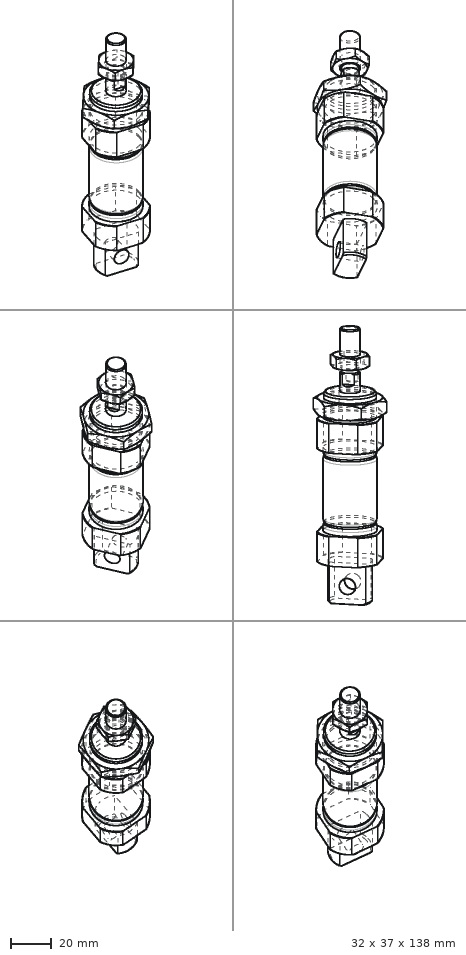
import cadquery as cq
import math

OVERALL_LENGTH = 138.0

LUG_DIAMETER = 22.0
LUG_THICKNESS = 12.0
LUG_LENGTH = 21.0
LUG_CHAMFER = 1.0
LUG_HOLE_DIAMETER = 8.0
LUG_HOLE_HEIGHT = 9.0

CAP_WIDTH = 30.1
CAP_FLAT_LENGTH = 14.6
CAP_HEIGHT = 15.0
CAP_CHAMFER = 0.3
CAP_DIAMETER = math.hypot(CAP_WIDTH, CAP_FLAT_LENGTH)

TUBE_DIAMETER = 26.5
TUBE_LENGTH = 42.0
GROOVE_DEPTH = 0.5
GROOVE_WIDTH = 3.7
GROOVE_FLOOR_WIDTH = 1.0
GROOVE_FROM_CAP = 4.0

COLLAR_DIAMETER = 26.0
COLLAR_TOP_DIAMETER = 24.2
COLLAR_HEIGHT = 13.1
COLLAR_CHAMFER_HEIGHT = 1.1

MOUNTING_NUT_WIDTH = 32.0
MOUNTING_NUT_THICKNESS = 8.0
MOUNTING_NUT_GAP = 2.0

ROD_DIAMETER = 10.0
NECK_DIAMETER = 8.5
NECK_HEIGHT = 2.5
ROD_SHOULDER_CHAMFER = (ROD_DIAMETER - NECK_DIAMETER) / 2
ROD_TIP_DIAMETER = 8.7
ROD_TIP_CHAMFER_HEIGHT = 0.7
WRENCH_FLAT_WIDTH = 8.0
WRENCH_FLAT_HEIGHT = 5.7

LOCK_NUT_WIDTH = 17.0
LOCK_NUT_THICKNESS = 6.1
LOCK_NUT_FROM_TIP = 13.4

NUT_CHAMFER_ANGLE = 30.0

LOWER_CAP_TOP = LUG_LENGTH + CAP_HEIGHT
UPPER_CAP_BOTTOM = LOWER_CAP_TOP + TUBE_LENGTH
UPPER_CAP_TOP = UPPER_CAP_BOTTOM + CAP_HEIGHT
COLLAR_TOP = UPPER_CAP_TOP + COLLAR_HEIGHT
MOUNTING_NUT_BOTTOM = UPPER_CAP_TOP + MOUNTING_NUT_GAP
LOCK_NUT_BOTTOM = OVERALL_LENGTH - LOCK_NUT_FROM_TIP - LOCK_NUT_THICKNESS
NECK_BOTTOM = LOCK_NUT_BOTTOM - NECK_HEIGHT


def cylinder(diameter, bottom, height):
    """Upright cylinder on the common axis."""
    return cq.Workplane("XY").workplane(offset=bottom).circle(diameter / 2).extrude(height)


def revolve_profile(profile):
    """Turn a closed (radius, height) outline about the Z axis."""
    return profile.close().revolve(360, (0, 0, 0), (0, 1, 0))


def make_lug():
    """Round lug with two flats, a chamfered end and a cross hole along X."""
    lug = cylinder(LUG_DIAMETER, 0, LUG_LENGTH).faces("<Z").chamfer(LUG_CHAMFER)
    slab = cq.Workplane("XY").box(LUG_THICKNESS, LUG_DIAMETER, LUG_LENGTH, centered=(True, True, False))
    hole = (
        cq.Workplane("YZ")
        .center(0, LUG_HOLE_HEIGHT)
        .circle(LUG_HOLE_DIAMETER / 2)
        .extrude(LUG_THICKNESS / 2, both=True)
    )
    return lug.intersect(slab).cut(hole)


def make_cap(bottom):
    """Chamfered round block cut square, so that the corners stay rounded."""
    disc = cylinder(CAP_DIAMETER, bottom, CAP_HEIGHT).faces("<Z or >Z").chamfer(CAP_CHAMFER)
    square = cq.Workplane("XY").workplane(offset=bottom).rect(CAP_WIDTH, CAP_WIDTH).extrude(CAP_HEIGHT)
    return disc.intersect(square)


def make_groove(middle):
    """Ring that cuts a shallow groove with rounded shoulders into the tube."""
    tube_radius = TUBE_DIAMETER / 2
    floor_radius = tube_radius - GROOVE_DEPTH
    shoulder = (GROOVE_WIDTH - GROOVE_FLOOR_WIDTH) / 2
    shoulder_radius = (shoulder**2 + GROOVE_DEPTH**2) / (2 * GROOVE_DEPTH)
    profile = (
        cq.Workplane("XZ")
        .moveTo(tube_radius, middle - GROOVE_WIDTH / 2)
        .radiusArc((floor_radius, middle - GROOVE_FLOOR_WIDTH / 2), -shoulder_radius)
        .lineTo(floor_radius, middle + GROOVE_FLOOR_WIDTH / 2)
        .radiusArc((tube_radius, middle + GROOVE_WIDTH / 2), -shoulder_radius)
    )
    return revolve_profile(profile)


def make_tube():
    tube = cylinder(TUBE_DIAMETER, LOWER_CAP_TOP, TUBE_LENGTH)
    for middle in (LOWER_CAP_TOP + GROOVE_FROM_CAP, UPPER_CAP_BOTTOM - GROOVE_FROM_CAP):
        tube = tube.cut(make_groove(middle))
    return tube


def make_collar():
    """Threaded collar with a chamfered top edge."""
    profile = (
        cq.Workplane("XZ")
        .moveTo(0, UPPER_CAP_TOP)
        .lineTo(COLLAR_DIAMETER / 2, UPPER_CAP_TOP)
        .lineTo(COLLAR_DIAMETER / 2, COLLAR_TOP - COLLAR_CHAMFER_HEIGHT)
        .lineTo(COLLAR_TOP_DIAMETER / 2, COLLAR_TOP)
        .lineTo(0, COLLAR_TOP)
    )
    return revolve_profile(profile)


def make_housing():
    housing = make_lug()
    for piece in (make_cap(LUG_LENGTH), make_tube(), make_cap(UPPER_CAP_BOTTOM), make_collar()):
        housing = housing.union(piece)
    return housing


def make_rod():
    """Stepped rod resting on the collar, with a thin neck below the thread and two wrench flats."""
    profile = (
        cq.Workplane("XZ")
        .moveTo(0, COLLAR_TOP)
        .lineTo(ROD_DIAMETER / 2, COLLAR_TOP)
        .lineTo(ROD_DIAMETER / 2, NECK_BOTTOM - ROD_SHOULDER_CHAMFER)
        .lineTo(NECK_DIAMETER / 2, NECK_BOTTOM)
        .lineTo(NECK_DIAMETER / 2, LOCK_NUT_BOTTOM)
        .lineTo(ROD_DIAMETER / 2, LOCK_NUT_BOTTOM)
        .lineTo(ROD_DIAMETER / 2, OVERALL_LENGTH - ROD_TIP_CHAMFER_HEIGHT)
        .lineTo(ROD_TIP_DIAMETER / 2, OVERALL_LENGTH)
        .lineTo(0, OVERALL_LENGTH)
    )
    rod = revolve_profile(profile)
    for side in (-1, 1):
        rod = rod.cut(make_wrench_flat_cutter(side))
    return rod


def make_wrench_flat_cutter(side):
    """Prism that cuts one wrench flat, whose lower end runs out at 45 degrees."""
    inner = WRENCH_FLAT_WIDTH / 2
    outer = ROD_DIAMETER / 2
    bottom = NECK_BOTTOM - WRENCH_FLAT_HEIGHT
    return (
        cq.Workplane("XZ")
        .moveTo(side * inner, NECK_BOTTOM)
        .lineTo(side * inner, bottom)
        .lineTo(side * outer, bottom - (outer - inner))
        .lineTo(side * outer, NECK_BOTTOM)
        .close()
        .extrude(outer, both=True)
    )


def make_nut(width, thickness, bore, bottom):
    """Hexagon nut with flats facing X and both ends turned to a cone."""
    corner_diameter = width / math.cos(math.pi / 6)
    cone_depth = (corner_diameter - width) / 2
    cone_height = cone_depth * math.tan(math.radians(NUT_CHAMFER_ANGLE))
    hexagon = (
        cq.Workplane("XY")
        .workplane(offset=bottom)
        .transformed(rotate=(0, 0, 90))
        .polygon(6, corner_diameter)
        .extrude(thickness)
    )
    turned_blank = (
        cylinder(corner_diameter, bottom, thickness)
        .faces("<Z or >Z")
        .edges()
        .chamfer(cone_height, cone_depth)
    )
    return hexagon.intersect(turned_blank).cut(cylinder(bore, bottom, thickness))


housing = make_housing()
rod = make_rod()
mounting_nut = make_nut(MOUNTING_NUT_WIDTH, MOUNTING_NUT_THICKNESS, COLLAR_DIAMETER, MOUNTING_NUT_BOTTOM)
lock_nut = make_nut(LOCK_NUT_WIDTH, LOCK_NUT_THICKNESS, ROD_DIAMETER, LOCK_NUT_BOTTOM)

bodies = (housing, rod, mounting_nut, lock_nut)
result = cq.Compound.makeCompound([body.solids().val() for body in bodies])